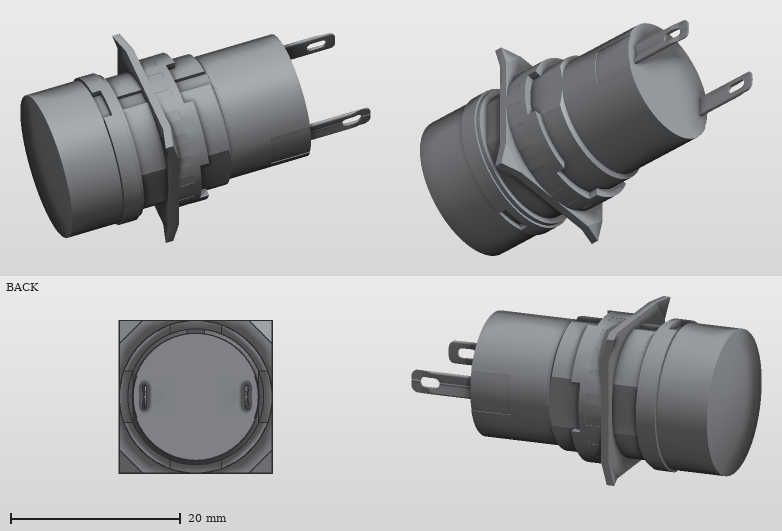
import cadquery as cq
import math


length = 39.6
face_width = 18.0
face_radius = face_width / 2

lens_start = 1.1
lens_end = 7.5
bezel_start = 7.6
bezel_end = 9.62
flange_end = 10.15
plate_start = 13.45
plate_thickness = 0.95
plate_end = plate_start + plate_thickness
nut_slot_end = 16.4
nut_shoulder = 17.25
nut_end = 18.4
barrel_end = 21.3
rear_start = 21.65
rear_end = 31.65

lens_radius = 8.75
seam_radius = 8.1
flange_radius = 8.67
barrel_radius = 8.0
rear_radius = 7.5
undercut_radius = 7.35

flat_distance = 7.4
keyway_width = 2.0
keyway_floor = undercut_radius

bezel_notch_width = 3.95
bezel_notch_end = 8.67

nut_notch_width = 6.1
nut_slot_count = 20
nut_slot_width = 1.2
nut_slot_floor = 8.95

corner_leg = 2.77
corner_drop = 0.7

recess_width = 4.95
recess_start = 26.7
recess_depth = 0.1

terminal_inner = 5.82
terminal_outer = 6.3
terminal_thickness = terminal_outer - terminal_inner
terminal_width = 2.8
terminal_root = 29.7
terminal_groove_depth = 0.25
terminal_tip_radius = 0.87
terminal_ramp_start = 36.95
terminal_ramp_end = 38.25
terminal_tip_outer = 6.05
rib_radius = 0.25
rib_center = 5.9
eyelet_y = 37.25
eyelet_length = 2.45
eyelet_width = 1.25


def box(x0, x1, y0, y1, z0, z1):
    return cq.Workplane("XY").box(x1 - x0, y1 - y0, z1 - z0, centered=False).translate((x0, y0, z0))


def cylinder(radius, y0, y1):
    return cq.Workplane(cq.Solid.makeCylinder(radius, y1 - y0, cq.Vector(0, y0, 0), cq.Vector(0, 1, 0)))


def turn(shape, degrees):
    """Rotate a shape about the button axis."""
    return shape.rotate((0, 0, 0), (0, 1, 0), degrees)


def turned_body():
    """Dome, lens, bezel, flange, barrel and rear cylinder as one revolved profile."""
    dome_radius = (lens_radius**2 + lens_start**2) / (2 * lens_start)
    half_angle = math.asin(lens_radius / dome_radius) / 2
    dome_middle = (dome_radius * math.sin(half_angle), dome_radius * (1 - math.cos(half_angle)))
    return (
        cq.Workplane("XY")
        .moveTo(0, 0)
        .threePointArc(dome_middle, (lens_radius, lens_start))
        .lineTo(lens_radius, lens_end)
        .lineTo(seam_radius, lens_end)
        .lineTo(seam_radius, bezel_start)
        .lineTo(face_radius, bezel_start)
        .lineTo(face_radius, bezel_end)
        .lineTo(flange_radius, bezel_end)
        .lineTo(flange_radius, flange_end)
        .lineTo(barrel_radius, flange_end)
        .lineTo(barrel_radius, barrel_end)
        .lineTo(undercut_radius, rear_start)
        .lineTo(rear_radius, rear_start)
        .lineTo(rear_radius, rear_end)
        .lineTo(0, rear_end)
        .close()
        .revolve(360, (0, 0, 0), (0, 1, 0))
    )


def cut_barrel(body):
    """Flats on both sides of the barrel and a keyway along its top."""
    for side in (0, 180):
        flat = box(flat_distance, face_radius, flange_end, rear_start, -face_radius, face_radius)
        body = body.cut(turn(flat, side))
    half = keyway_width / 2
    return body.cut(box(-half, half, flange_end, rear_start, keyway_floor, face_radius))


def cut_bezel_notches(body):
    """Notches in the front edge of the bezel, top and bottom."""
    half = bezel_notch_width / 2
    notch = box(-half, half, bezel_start, bezel_notch_end, 0, face_radius)
    notch = notch.cut(cylinder(seam_radius, bezel_start, bezel_notch_end))
    return body.cut(notch).cut(turn(notch, 180))


def cut_rear_recesses(body):
    """Shallow curved recesses on both sides of the rear end."""
    half = recess_width / 2
    skin = cylinder(face_radius, recess_start, rear_end).cut(
        cylinder(rear_radius - recess_depth, recess_start, rear_end)
    )
    band = box(-face_radius, face_radius, recess_start, rear_end, -half, half)
    return body.cut(skin.intersect(band))


def nut():
    """Ring nut with grip slots around its rim and four notches in its rear face."""
    ring = cylinder(face_radius, plate_end, nut_end).cut(cylinder(barrel_radius, plate_end, nut_end))
    half_notch = nut_notch_width / 2
    notch = box(-half_notch, half_notch, nut_shoulder, nut_end, 0, face_radius)
    for quarter in range(4):
        ring = ring.cut(turn(notch, 90 * quarter))
    half_slot = nut_slot_width / 2
    slot = box(-half_slot, half_slot, plate_end, nut_slot_end, nut_slot_floor, face_radius)
    pitch = 360 / nut_slot_count
    for index in range(nut_slot_count):
        ring = ring.cut(turn(slot, (index + 0.5) * pitch))
    return ring


def plate():
    """Square plate with four corners bent toward the dome and a key in its bore."""
    square = box(-face_radius, face_radius, 0, length, -face_radius, face_radius)
    flat = (
        box(-face_radius, face_radius, plate_start, plate_end, -face_radius, face_radius)
        .edges("|Y")
        .chamfer(corner_leg)
    )
    tip = face_radius * math.sqrt(2)
    fold = tip - corner_leg / math.sqrt(2)
    bend = (
        cq.Workplane("XY")
        .polyline([
            (fold, plate_start),
            (tip, plate_start - corner_drop),
            (tip, plate_end - corner_drop),
            (fold, plate_end),
        ])
        .close()
        .extrude(corner_leg, both=True)
    )
    sheet = flat
    for quarter in range(4):
        sheet = sheet.union(turn(bend, 45 + 90 * quarter).intersect(square))
    half_key = keyway_width / 2
    key = box(-half_key, half_key, plate_start, plate_end, keyway_floor, face_radius)
    bore = cylinder(barrel_radius, plate_start, plate_end).cut(key)
    return sheet.cut(bore)


def terminal():
    """Solder blade on the +X side, with rounded edges, a thin tip, a rib and an eyelet."""
    half = terminal_width / 2
    edge_radius = terminal_thickness / 2
    straight = half - edge_radius
    middle = terminal_inner + edge_radius
    blade = (
        cq.Workplane("XZ", origin=(0, terminal_root, 0))
        .moveTo(terminal_inner, -straight)
        .threePointArc((middle, -half), (terminal_outer, -straight))
        .lineTo(terminal_outer - terminal_groove_depth, 0)
        .lineTo(terminal_outer, straight)
        .threePointArc((middle, half), (terminal_inner, straight))
        .close()
        .extrude(terminal_root - length)
    )
    thinning = (
        cq.Workplane("XY")
        .polyline([
            (terminal_outer, terminal_ramp_start),
            (terminal_tip_outer, terminal_ramp_end),
            (terminal_tip_outer, length),
            (terminal_outer, length),
        ])
        .close()
        .extrude(half, both=True)
    )
    rib = cylinder(rib_radius, terminal_root, length).translate((rib_center, 0, 0))
    outline = (
        box(terminal_inner, terminal_outer, terminal_root, length, -half, half)
        .edges("|X and >Y")
        .fillet(terminal_tip_radius)
    )
    eyelet = (
        cq.Workplane("YZ")
        .center(eyelet_y, 0)
        .slot2D(eyelet_length, eyelet_width)
        .extrude(face_radius)
    )
    return blade.cut(thinning).union(rib).intersect(outline).cut(eyelet)


body = cut_rear_recesses(cut_bezel_notches(cut_barrel(turned_body())))
result = body.union(nut()).union(plate())
for side in (0, 180):
    result = result.union(turn(terminal(), side))